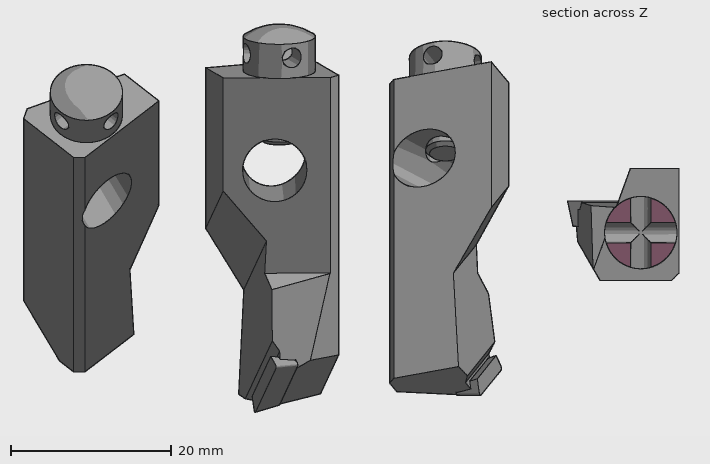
import cadquery as cq
import math


holder_height = 42.15
wall_x = 4.8
front_y = -6.0
back_y = 8.0
corner_chamfer = 0.98
side_angle = 20
side_back_x = -1.3
edge_angle = 30
edge_front_x = -5.05

foot_top_z = 17.1
foot_top_slope = 25
flank_base_x = -9.1
flank_slope = 10.5
foot_reach = 9.75

relief_angle = 20
relief_u = -1.55
seat_y = 0.8
ledge_y = 2.9
ledge_u = 0.35
groove_top = (1.45, 3.75)
rake_end = (12.8, 2.95)
gullet_end = (18.65, back_y)
cutter_length = 146.3

cross_hole_diameter = 8.0
cross_hole_y = 1.95
cross_hole_z = 30.3

head_diameter = 9.0
head_rim_z = 46.55
pin_top_z = 47.9
shank_diameter = 4.95
shank_end_z = 33.05
shank_chamfer = 0.5
tommy_hole_diameter = 2.5
tommy_hole_z = 44.7

insert_top_y = 3.95
insert_edge_u = -2.0
insert_back_u = 0.1
insert_upper_v = 11.3
insert_lower_v = 0.4
insert_end_angle = 22.5
insert_clearance = 7
nose_radius = 0.35


def slanted_side_x(y):
    return side_back_x - (back_y - y) * math.tan(math.radians(side_angle))


def bevel_x(y):
    return edge_front_x - (y - front_y) * math.tan(math.radians(edge_angle))


def edge_section_plane():
    """Plane across the cutting edge: local x is u, local y is Y."""
    return cq.Plane(origin=(0, 0, 0), xDir=(1, 0, 1), normal=(-1, 0, 1))


def slanted_side_plane(y, z):
    """Plane on the slanted side with its normal pointing out of the holder."""
    angle = math.radians(side_angle)
    outward = (-math.cos(angle), math.sin(angle), 0)
    along_side = (-math.sin(angle), -math.cos(angle), 0)
    return cq.Plane(origin=(slanted_side_x(y), y, z), xDir=along_side, normal=outward)


def make_shank():
    tan_side = math.tan(math.radians(side_angle))
    tan_edge = math.tan(math.radians(edge_angle))
    corner_y = (bevel_x(0) - slanted_side_x(0)) / (tan_side + tan_edge)
    outline = [
        (edge_front_x, front_y),
        (wall_x - corner_chamfer, front_y),
        (wall_x, front_y + corner_chamfer),
        (wall_x, back_y),
        (side_back_x, back_y),
        (bevel_x(corner_y), corner_y),
    ]
    return cq.Workplane("XY").polyline(outline).close().extrude(holder_height)


def make_foot():
    """Flared foot: sloped top, bevelled front edge and a leaning flank."""
    top_drop = foot_reach * math.tan(math.radians(foot_top_slope))
    side_profile = [
        (0, -foot_top_z),
        (foot_reach, -foot_top_z),
        (foot_reach, -top_drop),
        (0, 0),
    ]
    plane = slanted_side_plane(0, foot_top_z)
    outward = plane.zDir
    across = cq.Plane(plane.origin, xDir=outward, normal=outward.cross(cq.Vector(0, 0, 1)))
    flare = cq.Workplane(across).polyline(side_profile).close().extrude(cutter_length / 2, both=True)

    flank_top_x = flank_base_x + foot_top_z * math.tan(math.radians(flank_slope))
    flank_profile = [(flank_base_x, 0), (0, 0), (0, foot_top_z), (flank_top_x, foot_top_z)]
    flank_limit = (
        cq.Workplane("XZ").polyline(flank_profile).close().extrude(cutter_length / 2, both=True)
    )
    bevel_limit = (
        cq.Workplane("XY")
        .polyline([
            (edge_front_x, front_y),
            (wall_x, front_y),
            (wall_x, back_y),
            (bevel_x(back_y), back_y),
        ])
        .close()
        .extrude(foot_top_z)
    )
    return flare.intersect(flank_limit).intersect(bevel_limit)


def make_rake_cutter():
    """Gullet, sloping rake face and insert groove behind the cutting edge."""
    outline = [
        (-cutter_length, ledge_y),
        (ledge_u, ledge_y),
        groove_top,
        rake_end,
        gullet_end,
        (-cutter_length, gullet_end[1]),
    ]
    return (
        cq.Workplane(edge_section_plane()).polyline(outline).close()
        .extrude(cutter_length, both=True)
    )


def make_relief_cutter():
    """Sloping 45 degree end face, cut straight in front of the insert."""
    tan_relief = math.tan(math.radians(relief_angle))
    outline = [
        (-cutter_length, front_y),
        (relief_u + (seat_y - front_y) * tan_relief, front_y),
        (relief_u, seat_y),
        (relief_u, back_y),
        (-cutter_length, back_y),
    ]
    return (
        cq.Workplane(edge_section_plane()).polyline(outline).close()
        .extrude(cutter_length, both=True)
    )


def make_pin():
    head_radius = head_diameter / 2
    shank_radius = shank_diameter / 2
    dome_height = pin_top_z - head_rim_z
    dome_radius = (head_radius**2 + dome_height**2) / (2 * dome_height)
    half_angle = math.asin(head_radius / dome_radius) / 2
    dome_middle = (
        dome_radius * math.sin(half_angle),
        pin_top_z - dome_radius * (1 - math.cos(half_angle)),
    )
    pin = (
        cq.Workplane("XZ")
        .moveTo(0, shank_end_z)
        .lineTo(shank_radius - shank_chamfer, shank_end_z)
        .lineTo(shank_radius, shank_end_z + shank_chamfer)
        .lineTo(shank_radius, holder_height)
        .lineTo(head_radius, holder_height)
        .lineTo(head_radius, head_rim_z)
        .threePointArc(dome_middle, (0, pin_top_z))
        .close()
        .revolve(360, (0, 0, 0), (0, 1, 0))
    )
    for plane in ("XZ", "YZ"):
        tommy_hole = (
            cq.Workplane(plane).center(0, tommy_hole_z)
            .circle(tommy_hole_diameter / 2).extrude(head_diameter, both=True)
        )
        pin = pin.cut(tommy_hole)
    return pin


def make_insert():
    """Dovetail-shaped blade with clearance on all its sides."""
    top_plane = cq.Plane(origin=(0, insert_top_y, 0), xDir=(1, 0, 1), normal=(0, -1, 0))
    end_lean = (insert_back_u - insert_edge_u) * math.tan(math.radians(insert_end_angle))
    outline = [
        (insert_edge_u, insert_lower_v),
        (insert_back_u, insert_lower_v + end_lean),
        (insert_back_u, insert_upper_v - end_lean),
        (insert_edge_u, insert_upper_v),
    ]
    blade = (
        cq.Workplane(top_plane).polyline(outline).close()
        .extrude(insert_top_y - seat_y, taper=insert_clearance)
    )
    for nose_corner in ("<X", "<Z"):
        blade = blade.edges(nose_corner).fillet(nose_radius)
    return blade


def make_holder(insert):
    cross_hole = (
        cq.Workplane(slanted_side_plane(cross_hole_y, cross_hole_z))
        .circle(cross_hole_diameter / 2).extrude(cutter_length, both=True)
    )
    pin_hole = (
        cq.Workplane("XY", origin=(0, 0, cross_hole_z))
        .circle(shank_diameter / 2).extrude(holder_height - cross_hole_z)
    )
    return (
        make_shank().union(make_foot())
        .cut(make_relief_cutter())
        .cut(make_rake_cutter())
        .cut(cross_hole)
        .cut(pin_hole)
        .cut(insert)
    )


insert = make_insert()
holder = make_holder(insert)
pin = make_pin()

result = cq.Compound.makeCompound([holder.val(), pin.val(), insert.val()])